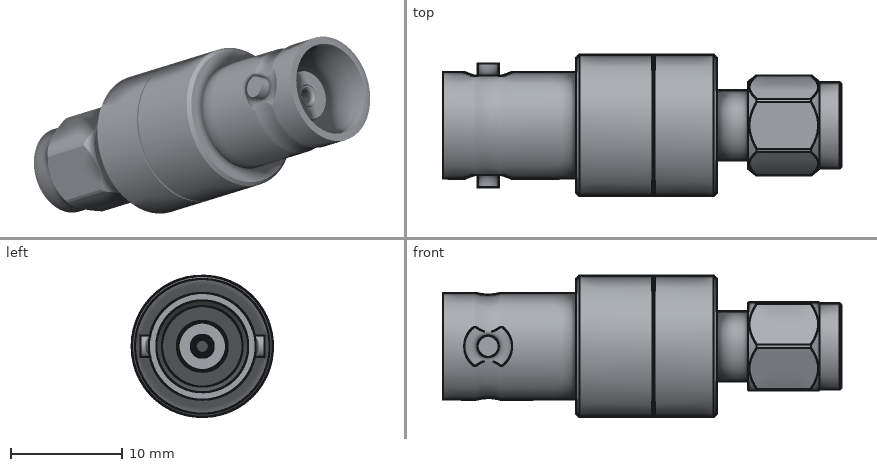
import cadquery as cq
import math


sleeve_diameter = 9.6
bore_diameter = 8.26
bore_floor_diameter = 7.24
bore_depth = 8.3
bore_taper_length = (bore_diameter - bore_floor_diameter) / 2

insert_diameter = 4.57
insert_front = 3.0
insert_chamfer = 0.15
contact_well_diameter = 2.05
contact_well_depth = 0.5
contact_diameter = 1.91
contact_bore_diameter = 1.19
contact_bore_depth = 2.0
contact_chamfer = 0.2

pin_x = 4.06
pin_diameter = 1.91
pin_span = 11.13
spot_face_diameter = 4.3
spot_face_span = 8.94
groove_width = 2.27
groove_depth = 0.15

barrel_diameter = 12.7
barrel_start = 11.97
barrel_end = 24.6
barrel_chamfer = 0.3
gap_diameter = 9.99
gap_start = 18.82
gap_width = 0.2

neck_diameter = 6.35
nut_start = 27.42
nut_end = 33.82
nut_across_flats = 7.94
nut_corner_diameter = 9.0
nut_chamfer_length = 0.76
collar_diameter = 7.76
collar_chamfer = 0.2
overall_length = 35.81


def cylinder(diameter, start, end):
    """Solid cylinder on the connector axis between two X positions."""
    return cq.Workplane("YZ", origin=(start, 0, 0)).circle(diameter / 2).extrude(end - start)


def make_sleeve():
    """Sleeve with a socket bore, tapered at its floor, and a shallow concave groove."""
    bore_radius = bore_diameter / 2
    floor_radius = bore_floor_diameter / 2
    bore = (
        cq.Workplane("XY")
        .moveTo(0, 0)
        .lineTo(0, bore_radius)
        .lineTo(bore_depth - bore_taper_length, bore_radius)
        .lineTo(bore_depth, floor_radius)
        .lineTo(bore_depth, 0)
        .close()
        .revolve(360, (0, 0, 0), (1, 0, 0))
    )
    sleeve_radius = sleeve_diameter / 2
    half_width = groove_width / 2
    groove = (
        cq.Workplane("XY")
        .moveTo(pin_x - half_width, sleeve_radius)
        .threePointArc((pin_x, sleeve_radius - groove_depth), (pin_x + half_width, sleeve_radius))
        .close()
        .revolve(360, (0, 0, 0), (1, 0, 0))
    )
    return cylinder(sleeve_diameter, 0, barrel_start).cut(bore).cut(groove)


def add_bayonet_pin(sleeve, side):
    """Spot-face one side of the sleeve (+1 or -1 in Y) and stand a pin on the flat."""
    flat_y = side * spot_face_span / 2
    tip_y = side * pin_span / 2
    face_plane = cq.Plane(origin=(pin_x, flat_y, 0), xDir=(1, 0, 0), normal=(0, side, 0))
    spot_face = cq.Workplane(face_plane).circle(spot_face_diameter / 2).extrude(sleeve_diameter / 2)
    pin = cq.Workplane(face_plane).circle(pin_diameter / 2).extrude(abs(tip_y - flat_y))
    return sleeve.cut(spot_face).union(pin)


def make_insert():
    """Dielectric insert with a recessed tubular contact at its centre."""
    well_floor = insert_front + contact_well_depth
    insert = cylinder(insert_diameter, insert_front, bore_depth).faces("<X").chamfer(insert_chamfer)
    well = cylinder(contact_well_diameter, insert_front, well_floor)
    bore = cylinder(contact_bore_diameter, insert_front, insert_front + contact_bore_depth)
    contact = cylinder(contact_diameter, insert_front, well_floor).cut(bore)
    contact = contact.faces("<X").edges(cq.selectors.RadiusNthSelector(0)).chamfer(contact_chamfer)
    return insert.cut(well).cut(bore).union(contact)


def make_barrel():
    """Chamfered barrel, divided by the gap."""
    barrel = cylinder(barrel_diameter, barrel_start, barrel_end).faces("<X or >X").chamfer(barrel_chamfer)
    gap_end = gap_start + gap_width
    gap = cylinder(barrel_diameter, gap_start, gap_end).cut(cylinder(gap_diameter, gap_start, gap_end))
    return barrel.cut(gap)


def make_nut():
    """Hexagonal nut with corners turned round and both ends chamfered, plus its collar."""
    hexagon_diameter = nut_across_flats / math.cos(math.pi / 6)
    hexagon = (
        cq.Workplane("YZ", origin=(nut_start, 0, 0))
        .polygon(6, hexagon_diameter)
        .extrude(nut_end - nut_start)
    )
    half_profile = [
        (nut_start, 0),
        (nut_start, collar_diameter / 2),
        (nut_start + nut_chamfer_length, nut_corner_diameter / 2),
        (nut_end - nut_chamfer_length, nut_corner_diameter / 2),
        (nut_end, collar_diameter / 2),
        (nut_end, 0),
    ]
    turned = cq.Workplane("XY").polyline(half_profile).close().revolve(360, (0, 0, 0), (1, 0, 0))
    collar = cylinder(collar_diameter, nut_end, overall_length).faces(">X").chamfer(collar_chamfer)
    return hexagon.intersect(turned).union(collar)


sleeve = make_sleeve()
for side in (-1, 1):
    sleeve = add_bayonet_pin(sleeve, side)

neck = cylinder(neck_diameter, barrel_end, nut_start)
result = sleeve.union(make_insert()).union(make_barrel()).union(neck).union(make_nut())